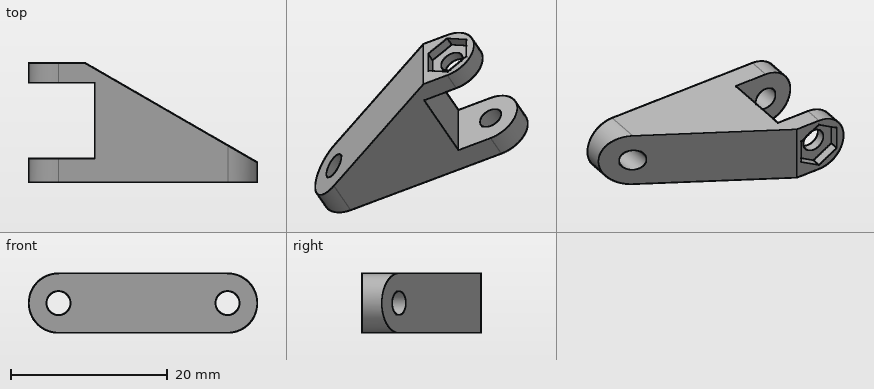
import cadquery as cq
import math

length = 29.2
depth = 15.25
height = 7.62

front_arm_thickness = 3.05
rear_arm_thickness = 2.55
slot_length = 8.4
rear_edge_length = 7.21
slope_angle = 30.0
hole_diameter = 3.05
nut_across_flats = 5.5
nut_pocket_depth = 1.25

hole_spacing = length - height
slope_drop = (length - rear_edge_length) * math.tan(math.radians(slope_angle))
nut_across_corners = nut_across_flats / math.cos(math.radians(30))
tip_thickness = depth - slope_drop
slot_rear = depth - rear_arm_thickness


def plan_body():
    """Forked wedge outline extruded to the full height, centred on Z = 0."""
    outline = [
        (0, 0),
        (length, 0),
        (length, tip_thickness),
        (rear_edge_length, depth),
        (0, depth),
        (0, slot_rear),
        (slot_length, slot_rear),
        (slot_length, front_arm_thickness),
        (0, front_arm_thickness),
    ]
    return cq.Workplane("XY").polyline(outline).close().extrude(height / 2, both=True)


def rounded_profile():
    """Round-ended bar along Y with both pin holes passing through."""
    face = cq.Workplane("XZ").center(length / 2, 0)
    bar = face.slot2D(length, height).extrude(-depth)
    hole_centres = [(-hole_spacing / 2, 0), (hole_spacing / 2, 0)]
    holes = face.pushPoints(hole_centres).circle(hole_diameter / 2).extrude(-depth)
    return bar.cut(holes)


def nut_pocket():
    """Hexagonal recess in the outer face of the rear arm, with corners at its top and bottom."""
    rear_face = cq.Workplane("XZ", origin=(height / 2, depth, 0))
    corner_up = rear_face.transformed(rotate=(0, 0, 30))
    return corner_up.polygon(6, nut_across_corners).extrude(nut_pocket_depth)


result = plan_body().intersect(rounded_profile()).cut(nut_pocket())